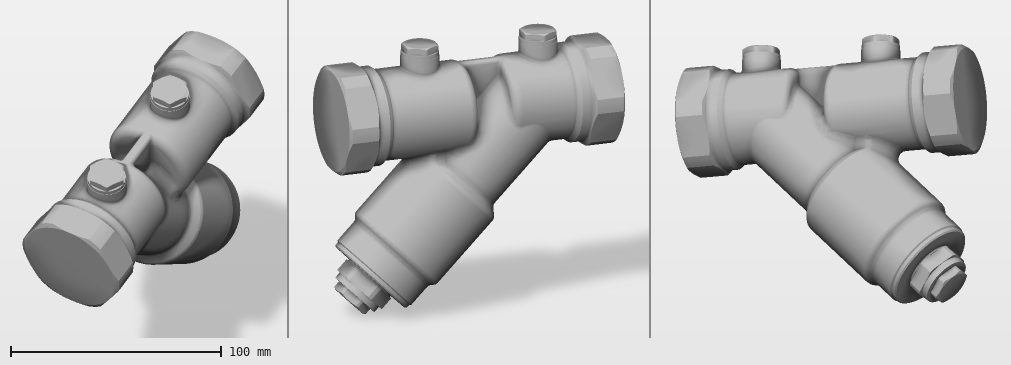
import cadquery as cq
import math

HALF_LENGTH = 70.0
PIPE_R = 22.0
PIPE_END_FILLET = 4.3
UPSTREAM_FACE_Y = -14.6
DOWNSTREAM_FACE_Y = 2.6

END_HEX_FLATS = 49.0
END_HEX_CORNER_R = 26.475
END_HEX_LENGTH = 15.9
END_FACE_CHAMFER = 1.0
END_BACK_CHAMFER = 1.5
END_ROOT_FILLET = 1.0
COLLAR_R = 24.0
COLLAR_LENGTH = 5.2
COLLAR_CONE_LENGTH = 2.5

BRANCH_Y = -30.7
BRANCH_TILT = 225.0
NECK_R = 21.0
BODY_R = 25.8
SHOULDER_START = 49.8
SHOULDER_SLOPE = math.radians(45)
SHOULDER_LENGTH = (BODY_R - NECK_R) / math.tan(SHOULDER_SLOPE)
SHOULDER_ROUND = 2.8
BODY_END = 96.3
CAP_R = 23.3
CAP_START = BODY_END + BODY_R - CAP_R
CAP_ROUND = 2.5
CAP_SIDE_END = 111.4
CAP_LID_R = 22.6
CAP_LID_START = 112.0
CAP_LID_CHAMFER = 0.7
CAP_END = 114.4

DRAIN_HEX_FLATS = 25.5
DRAIN_WASHER_R = 13.2
DRAIN_WASHER_END = 115.3
DRAIN_HEX_CORNER_R = 14.1
DRAIN_HEX_END = 122.2
DRAIN_RING_R = 12.4
DRAIN_RING_END = 125.5
DRAIN_TIP_FLATS = 17.8
DRAIN_TIP_CORNER_R = 9.9
DRAIN_TIP_END = 129.7
TIP_CHAMFER = 0.25
TIP_CHAMFER_SLOPE = 0.5

PLUG_YS = (25.0, -35.0)
PLUG_R = 9.3
PLUG_RING_R = 9.1
PLUG_BOSS_TOP = 27.8
PLUG_RING_TOP = 29.9
PLUG_TOP = 33.4
PLUG_HEX_FLATS = 16.0
PLUG_HEX_CORNER_R = 9.0
PLUG_BOSS_FILLET = 1.0

RIB_WIDTH = 5.4
RIB_TOP = 21.9
RIB_TOP_FILLET = 2.0
RIB_ROOT_FILLET = 1.6

DOWNSTREAM_BLEND = 4.0
UPSTREAM_BLEND = 3.0

TOLERANCE = 0.05


def turned(points):
    """Solid of revolution about Z from (radius, height) points."""
    return cq.Workplane("XZ").polyline(points).close().revolve(360, (0, 0), (0, 1))


def hexagon(flats, corner_r, start, end):
    """Hexagonal bar along Z, corners on +-X trimmed by a cylinder."""
    sides = 6
    across_corners = flats / math.cos(math.pi / sides)
    bar = cq.Workplane("XY").workplane(offset=start).polygon(sides, across_corners).extrude(end - start)
    trim = cq.Workplane("XY").workplane(offset=start).circle(corner_r).extrude(end - start)
    return bar.intersect(trim)


def circle_at(height, radius):
    """Selector for edges around the Z axis lying in a thin slab at the given height."""
    reach = radius + 1
    low = (-reach, -reach, height - TOLERANCE)
    high = (reach, reach, height + TOLERANCE)
    return cq.selectors.BoxSelector(low, high, boundingbox=True)


def along_pipe(solid):
    return solid.rotate((0, 0, 0), (1, 0, 0), -90)


def along_branch(solid):
    return solid.rotate((0, 0, 0), (1, 0, 0), BRANCH_TILT).translate((0, BRANCH_Y, 0))


def pipe_half(inner_face):
    """Round pipe from its filleted inner face out into the connection end."""
    pipe = cq.Workplane("XY").workplane(offset=inner_face).circle(PIPE_R)
    pipe = pipe.extrude(HALF_LENGTH - END_HEX_LENGTH - inner_face)
    return pipe.faces("<Z").edges().fillet(PIPE_END_FILLET)


def connection_end():
    hex_start = HALF_LENGTH - END_HEX_LENGTH
    collar_start = hex_start - COLLAR_LENGTH
    bar = hexagon(END_HEX_FLATS, END_HEX_CORNER_R, hex_start, HALF_LENGTH)
    envelope = turned([
        (0, hex_start),
        (COLLAR_R, hex_start),
        (END_HEX_CORNER_R, hex_start + END_BACK_CHAMFER),
        (END_HEX_CORNER_R, HALF_LENGTH - END_FACE_CHAMFER),
        (END_HEX_FLATS / 2, HALF_LENGTH),
        (0, HALF_LENGTH),
    ])
    collar = turned([
        (0, collar_start - COLLAR_CONE_LENGTH),
        (PIPE_R, collar_start - COLLAR_CONE_LENGTH),
        (COLLAR_R, collar_start),
        (COLLAR_R, hex_start),
        (0, hex_start),
    ])
    end = collar.union(bar.intersect(envelope))
    return end.edges(circle_at(hex_start, COLLAR_R)).fillet(END_ROOT_FILLET)


def branch_body():
    body = turned([
        (0, 0),
        (NECK_R, 0),
        (NECK_R, SHOULDER_START),
        (BODY_R, SHOULDER_START + SHOULDER_LENGTH),
        (BODY_R, BODY_END),
        (CAP_R, CAP_START),
        (CAP_R, CAP_SIDE_END),
        (CAP_LID_R, CAP_LID_START),
        (CAP_LID_R, CAP_END - CAP_LID_CHAMFER),
        (CAP_LID_R - CAP_LID_CHAMFER, CAP_END),
        (0, CAP_END),
    ])
    for height in (BODY_END, CAP_START):
        body = body.edges(circle_at(height, BODY_R)).fillet(CAP_ROUND)
    return body


def shoulder_root():
    """Concave round filling the corner between the neck and the 45 degree shoulder."""
    half_slope = SHOULDER_SLOPE / 2
    tangent = SHOULDER_ROUND * math.tan(half_slope)
    mid_rise = SHOULDER_ROUND * math.sin(half_slope)
    mid_offset = SHOULDER_ROUND * (1 - math.cos(half_slope))
    neck_tangent = (NECK_R, SHOULDER_START - tangent)
    mid = (NECK_R + mid_offset, SHOULDER_START - tangent + mid_rise)
    shoulder_tangent = (
        NECK_R + tangent * math.sin(SHOULDER_SLOPE),
        SHOULDER_START + tangent * math.cos(SHOULDER_SLOPE),
    )
    profile = cq.Workplane("XZ").moveTo(0, neck_tangent[1]).lineTo(*neck_tangent)
    profile = profile.threePointArc(mid, shoulder_tangent).lineTo(0, shoulder_tangent[1]).close()
    return profile.revolve(360, (0, 0), (0, 1))


def tipped_hexagon(flats, corner_r, start, end):
    """Hexagonal plug head with its free end chamfered to a circle."""
    head_r = flats / 2 - TIP_CHAMFER
    envelope = turned([
        (0, start),
        (corner_r, start),
        (corner_r, end - (corner_r - head_r) * TIP_CHAMFER_SLOPE),
        (head_r, end),
        (0, end),
    ])
    return hexagon(flats, corner_r, start, end).intersect(envelope)


def drain_plug():
    washer = cq.Workplane("XY").workplane(offset=CAP_END).circle(DRAIN_WASHER_R)
    washer = washer.extrude(DRAIN_WASHER_END - CAP_END)
    plug = washer.union(hexagon(DRAIN_HEX_FLATS, DRAIN_HEX_CORNER_R, DRAIN_WASHER_END, DRAIN_HEX_END))
    ring = cq.Workplane("XY").workplane(offset=DRAIN_HEX_END).circle(DRAIN_RING_R)
    plug = plug.union(ring.extrude(DRAIN_RING_END - DRAIN_HEX_END))
    return plug.union(tipped_hexagon(DRAIN_TIP_FLATS, DRAIN_TIP_CORNER_R, DRAIN_RING_END, DRAIN_TIP_END))


def test_plug(y):
    """Round boss on the pipe with a flanged hexagonal plug on top."""
    boss = cq.Workplane("XY").circle(PLUG_R).extrude(PLUG_BOSS_TOP)
    boss = boss.faces(">Z").workplane().circle(PLUG_RING_R).extrude(PLUG_RING_TOP - PLUG_BOSS_TOP)
    head = tipped_hexagon(PLUG_HEX_FLATS, PLUG_HEX_CORNER_R, PLUG_RING_TOP, PLUG_TOP)
    return boss.union(head).translate((0, y, 0))


def rib():
    length = DOWNSTREAM_FACE_Y - UPSTREAM_FACE_Y + 2 * PIPE_END_FILLET
    bar = cq.Workplane("XY").box(RIB_WIDTH, length, RIB_TOP, centered=(True, True, False))
    bar = bar.translate((0, (DOWNSTREAM_FACE_Y + UPSTREAM_FACE_Y) / 2, 0))
    return bar.edges("|Y and >Z").fillet(RIB_TOP_FILLET)


def shoulder_rim(body):
    """Edges of the circle where the shoulder reaches the full branch radius."""
    rim_distance = SHOULDER_START + SHOULDER_LENGTH
    rim = []
    for edge in body.edges().vals():
        points = [edge.positionAt(t) for t in (0, 0.25, 0.5, 0.75)]
        distances = [(p.y - BRANCH_Y - p.z) / math.sqrt(2) for p in points]
        if all(abs(distance - rim_distance) < TOLERANCE for distance in distances):
            rim.append(edge)
    return rim


def branch_seam(body, y_min, y_max):
    """Edges where the branch runs into the pipe skin between two Y positions."""
    seam = []
    for edge in body.edges().vals():
        mid = edge.positionAt(0.5)
        on_pipe = math.hypot(mid.x, mid.z) < PIPE_R + TOLERANCE
        in_range = y_min - TOLERANCE < mid.y < y_max + TOLERANCE
        if on_pipe and in_range and edge.geomType() not in ("CIRCLE", "LINE"):
            seam.append(edge)
    return seam


def rib_root(body):
    """Edges where the two rib sides meet the branch and the pipe faces."""
    root = []
    for edge in body.edges().vals():
        mid = edge.positionAt(0.5)
        on_side = abs(abs(mid.x) - RIB_WIDTH / 2) < TOLERANCE
        if on_side and mid.z < RIB_TOP - RIB_TOP_FILLET - TOLERANCE:
            root.append(edge)
    return root


branch = along_branch(branch_body())
casting = along_pipe(pipe_half(DOWNSTREAM_FACE_Y)).union(branch)
casting = casting.newObject(shoulder_rim(casting)).fillet(SHOULDER_ROUND)
casting = casting.newObject(branch_seam(casting, DOWNSTREAM_FACE_Y, HALF_LENGTH)).fillet(DOWNSTREAM_BLEND)
casting = casting.union(along_pipe(pipe_half(-UPSTREAM_FACE_Y)).mirror("XZ"))
casting = casting.newObject(branch_seam(casting, -HALF_LENGTH, UPSTREAM_FACE_Y)).fillet(UPSTREAM_BLEND)

casting = casting.union(rib())
casting = casting.newObject(rib_root(casting)).fillet(RIB_ROOT_FILLET)
casting = casting.union(along_branch(shoulder_root()))

end = along_pipe(connection_end())
casting = casting.union(end).union(end.mirror("XZ"))

for plug_y in PLUG_YS:
    casting = casting.union(test_plug(plug_y))
    base = cq.selectors.BoxSelector(
        (-PLUG_R - 1, plug_y - PLUG_R - 1, 0),
        (PLUG_R + 1, plug_y + PLUG_R + 1, PIPE_R + TOLERANCE),
        boundingbox=True,
    )
    casting = casting.edges(base).fillet(PLUG_BOSS_FILLET)
result = casting.union(along_branch(drain_plug()))